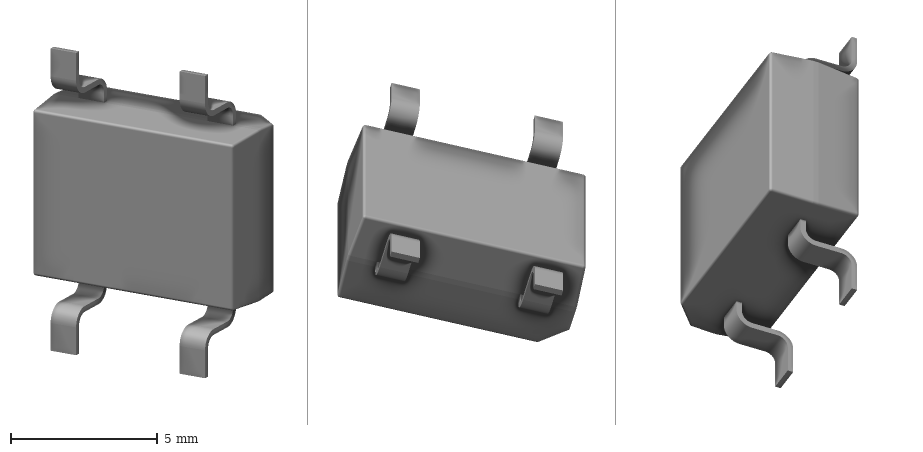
import cadquery as cq
import math

body_width = 8.12
body_height = 6.2
half_depth = 1.7
front_draft = 4.1
back_draft = 3.2
edge_radius = 0.1

bevel_width = 0.92
bevel_depth = 0.81

lead_thickness = 0.21
lead_width = 1.0
lead_spacing = 5.08
lead_tip = 5.45
lead_face = -2.05
pad_length = 1.0
inner_radius = 0.39
outer_radius = inner_radius + lead_thickness
lead_embed = 0.55

half_width = body_width / 2
half_height = body_height / 2
half_band = lead_thickness / 2


def draft_inset(draft):
    """How far a drafted wall leans in between the band and the flat face."""
    return (half_depth - half_band) * math.tan(math.radians(draft))


def drafted_block(plan, band_y, face_y, inset):
    """Prism of an XY outline, trimmed so that its top and bottom lean in by the inset."""
    side = [
        (band_y, half_height),
        (face_y, half_height - inset),
        (face_y, inset - half_height),
        (band_y, -half_height),
    ]
    plan_prism = cq.Workplane("XY").polyline(plan).close().extrude(half_height, both=True)
    side_prism = cq.Workplane("YZ").polyline(side).close().extrude(half_width, both=True)
    return plan_prism.intersect(side_prism)


def front_block():
    """The -Y half, drafted on all four sides and rounded on every edge clear of the band."""
    inset = draft_inset(front_draft)
    plan = [
        (-half_width, -half_band),
        (inset - half_width, -half_depth),
        (half_width - inset, -half_depth),
        (half_width, -half_band),
    ]
    block = drafted_block(plan, -half_band, -half_depth, inset)
    return block.edges("not(>Y)").fillet(edge_radius)


def back_block():
    """The +Y half: its +X wall stands upright below the bevel, the other sides are drafted."""
    inset = draft_inset(back_draft)
    plan = [
        (-half_width, half_band),
        (inset - half_width, half_depth),
        (half_width - bevel_width, half_depth),
        (half_width, half_depth - bevel_depth),
        (half_width, half_band),
    ]
    block = drafted_block(plan, half_band, half_depth, inset)
    left_face_edge = block.faces(">Y").edges("<X")
    return block.edges("not(<Y or |Z)").add(left_face_edge).fillet(edge_radius)


def band():
    """Upright band between the two blocks, as thick as the leads."""
    strip = cq.Workplane("XY").box(body_width, lead_thickness, body_height)
    return strip.edges("|Y").fillet(edge_radius)


def upper_lead(center_x):
    """One lead: up out of the band, forward to the mounting plane, then up along the pad."""
    pad_start = lead_tip - pad_length
    shelf_bottom = pad_start - outer_radius
    shelf_top = shelf_bottom + lead_thickness
    root_end = shelf_top - outer_radius
    root_start = half_height - lead_embed
    pad_back = lead_face + lead_thickness
    shelf_front = lead_face + outer_radius
    shelf_back = half_band - outer_radius

    def bend(start_y, start_z, radius, start_angle, end_angle):
        """Mid and end points of an arc that leaves the given start point."""
        center_y = start_y - radius * math.cos(math.radians(start_angle))
        center_z = start_z - radius * math.sin(math.radians(start_angle))
        angles = [math.radians(a) for a in ((start_angle + end_angle) / 2, end_angle)]
        return [(center_y + radius * math.cos(a), center_z + radius * math.sin(a)) for a in angles]

    profile = (
        cq.Workplane("YZ", origin=(center_x, 0, 0))
        .moveTo(half_band, root_start)
        .lineTo(half_band, root_end)
        .threePointArc(*bend(half_band, root_end, outer_radius, 0, 90))
        .lineTo(shelf_front, shelf_top)
        .threePointArc(*bend(shelf_front, shelf_top, inner_radius, 270, 180))
        .lineTo(pad_back, lead_tip)
        .lineTo(lead_face, lead_tip)
        .lineTo(lead_face, pad_start)
        .threePointArc(*bend(lead_face, pad_start, outer_radius, 180, 270))
        .lineTo(shelf_back, shelf_bottom)
        .threePointArc(*bend(shelf_back, shelf_bottom, inner_radius, 90, 0))
        .lineTo(-half_band, root_start)
        .close()
    )
    return profile.extrude(lead_width / 2, both=True)


result = band().union(front_block()).union(back_block())
for center_x in (-lead_spacing / 2, lead_spacing / 2):
    lead = upper_lead(center_x)
    result = result.union(lead).union(lead.mirror("XY"))